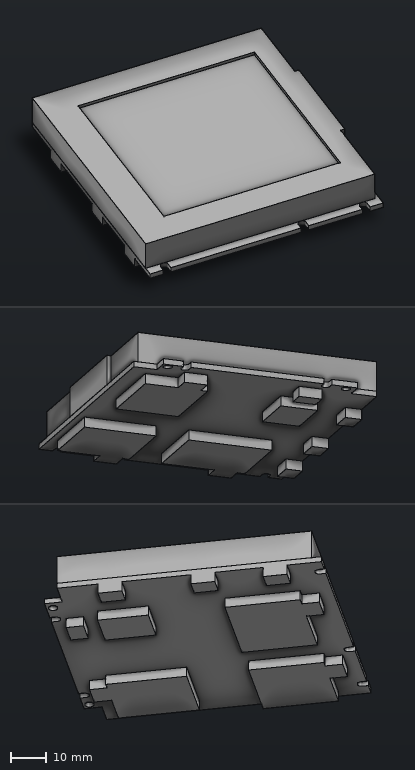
import cadquery as cq


overall_length = 82.0
module_width = 74.0
overall_height = 13.6

component_height = 3.0
board_thickness = 1.6
board_bottom = component_height
board_top = board_bottom + board_thickness
housing_height = overall_height - board_top

housing_left = 5.2
housing_right = housing_left + module_width
window_size = 55.9
window_front = 10.2
window_depth = 1.0
back_step_depth = 1.3
tongue_left = 27.0
tongue_right = 56.9

tab_front = 7.7
tab_back = 66.9
hole_diameter = 2.6
hole_x = 2.0
hole_ys = [10.6, 64.9]
slot_width = 2.4
slot_depth = 2.95
left_slot_ys = [16.8, 59.6]
right_slot_ys = [5.4, 49.1, 68.55]

clip_depth = 5.1
clip_width = 7.0
front_clip_xs = [17.05, 44.0, 65.0]
left_clip_x = 4.5
right_clip_x = 73.0
side_clip_ys = [16.9, 51.8]

left_front_block = (14.1, 28.9, 14.6, 25.8)
left_back_block = (left_clip_x + clip_depth, 33.1, 49.85, 68.8)
right_front_block = (51.1, right_clip_x, 14.6, 39.9)
right_back_block = (51.1, right_clip_x, 49.85, 71.7)


def block(left, right, front, back, bottom, height):
    """Box given by its plan limits, its bottom and its height."""
    return cq.Workplane("XY").box(right - left, back - front, height, centered=False).translate(
        (left, front, bottom)
    )


def edge_slot(edge_x, y, inward):
    """Round-ended slot cutter, open at a board edge; inward is +1 or -1 along X."""
    radius = slot_width / 2
    straight_end = edge_x + inward * (slot_depth - radius)
    return (
        cq.Workplane("XY", origin=(0, 0, board_bottom))
        .moveTo(edge_x, y - radius)
        .lineTo(straight_end, y - radius)
        .threePointArc((edge_x + inward * slot_depth, y), (straight_end, y + radius))
        .lineTo(edge_x, y + radius)
        .close()
        .extrude(board_thickness)
    )


def make_housing():
    """Square cover with a shallow display window and a stepped back wall."""
    housing = block(housing_left, housing_right, 0, module_width, board_top, housing_height)

    window_left = (housing_left + housing_right - window_size) / 2
    window = block(
        window_left,
        window_left + window_size,
        window_front,
        window_front + window_size,
        overall_height - window_depth,
        window_depth,
    )
    housing = housing.cut(window)

    step_front = module_width - back_step_depth
    for left, right in [(housing_left, tongue_left), (tongue_right, housing_right)]:
        step = block(left, right, step_front, module_width, board_top, housing_height)
        housing = housing.cut(step)
    return housing


def make_board():
    """Circuit board with its left tab, edge slots, holes, clips and components."""
    board = block(housing_left, overall_length, 0, module_width, board_bottom, board_thickness)
    tab = block(0, housing_left, tab_front, tab_back, board_bottom, board_thickness)
    board = board.union(tab)

    for y in hole_ys:
        hole = (
            cq.Workplane("XY", origin=(hole_x, y, board_bottom))
            .circle(hole_diameter / 2)
            .extrude(board_thickness)
        )
        board = board.cut(hole)
    for y in left_slot_ys:
        board = board.cut(edge_slot(0, y, 1))
    for y in right_slot_ys:
        board = board.cut(edge_slot(overall_length, y, -1))

    clips = [(x, x + clip_width, 0, clip_depth) for x in front_clip_xs]
    for x in [left_clip_x, right_clip_x]:
        clips += [(x, x + clip_depth, y, y + clip_width) for y in side_clip_ys]

    components = [left_front_block, left_back_block, right_front_block, right_back_block]
    for limits in clips + components:
        board = board.union(block(*limits, 0, component_height))
    return board


housing = make_housing()
board = make_board()

result = cq.Compound.makeCompound([housing.val(), board.val()])